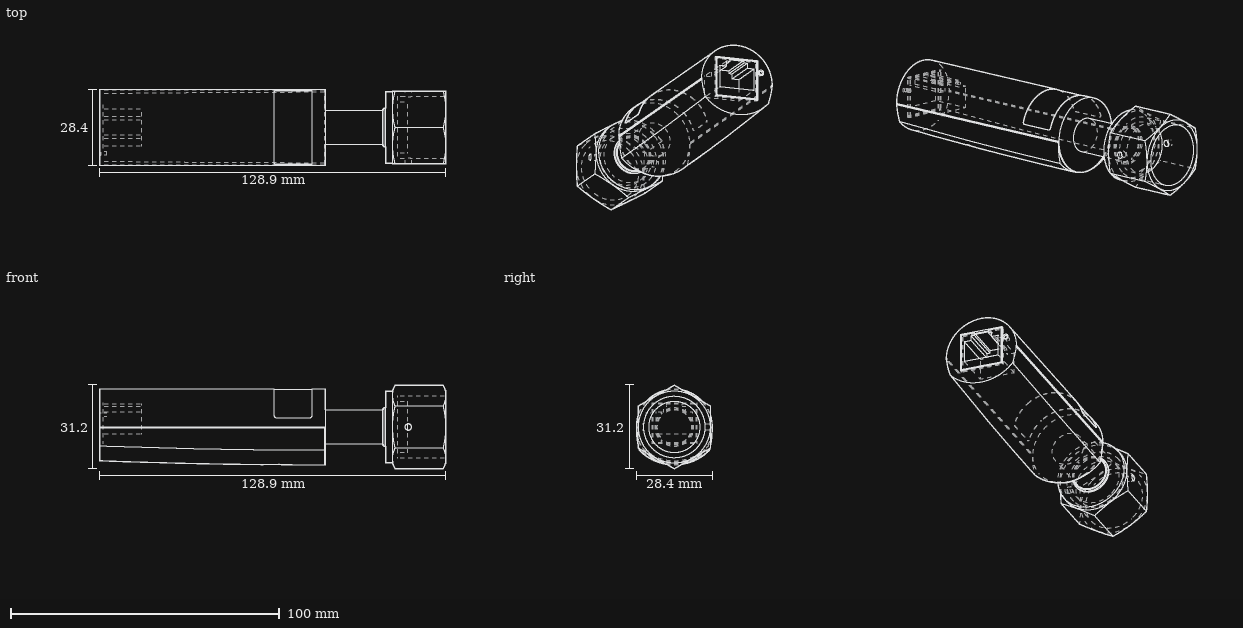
import cadquery as cq
import math

TOTAL_LENGTH = 128.9
OVERSHOOT = 1.3

BODY_DIAMETER = 28.4
BODY_RADIUS = BODY_DIAMETER / 2
BODY_END = 84.0
END_DISC_THICKNESS = 0.4
SHELL_END = BODY_END - END_DISC_THICKNESS

SHELL_RISE = 1.5
SHELL_CORNER_Y = 13.1
SHELL_CORNER_Z = -8.6
SHELL_CORNER_SHIFT = 0.5
SHELL_SIDE_RADIUS = 36.1
SHELL_SECTIONS = 3

GROOVE_HEIGHT = 0.4
GROOVE_DEPTH = 0.3

LABEL_START = 65.0
LABEL_END = 79.0
LABEL_BOTTOM = 3.4
LABEL_CORNER_RADIUS = 0.9
LABEL_DEPTH = 0.1

FRAME_WIDTH = 16.8
FRAME_TOP = 9.0
FRAME_BOTTOM = -6.2
FRAME_GAP = 0.4
FRAME_GAP_DEPTH = 1.3
JACK_DEPTH = 15.5
JACK_HALF_WIDTH = 6.8
JACK_BOTTOM = -2.6
JACK_SHOULDER = 5.7
KEY_HALF_WIDTH = 4.1
KEY_SHOULDER = 7.6
LATCH_HALF_WIDTH = 2.8
JACK_TOP = FRAME_TOP - FRAME_GAP

LIGHT_Y = -9.7
LIGHT_Z = 4.5
LIGHT_DIAMETER = 1.3
LIGHT_RIM_DIAMETER = 2.0
LIGHT_RIM_DEPTH = (LIGHT_RIM_DIAMETER - LIGHT_DIAMETER) / 2
LIGHT_DEPTH = 2.6

NECK_DIAMETER = 12.8
GLAND_START = 105.3
GLAND_NOSE_DIAMETER = 13.5
GLAND_DIAMETER = 14.5
GLAND_BEVEL = (GLAND_DIAMETER - GLAND_NOSE_DIAMETER) / 2
GLAND_HEAD_DIAMETER = 19.1
GLAND_HEAD_END = 114.6

NUT_START = 106.5
HEX_START = 109.0
HEX_SIDES = 6
HEX_ACROSS_CORNERS = 31.2
HEX_CORNER_RADIUS = HEX_ACROSS_CORNERS / 2
COLLAR_RADIUS = 13.4
CHAMFER_ANGLE = 25.0
CHAMFER_LENGTH = (HEX_CORNER_RADIUS - COLLAR_RADIUS) * math.tan(math.radians(CHAMFER_ANGLE))
NUT_BORE_DIAMETER = 23.0
NUT_BORE_START = 110.9
LEAK_HOLE_X = 114.9
LEAK_HOLE_DIAMETER = 2.3


def cylinder(start, end, diameter):
    """Cylinder along X between two stations."""
    return cq.Workplane("YZ", origin=(start, 0, 0)).circle(diameter / 2).extrude(end - start)


def revolved(profile):
    """Solid of revolution about X from (x, radius) points."""
    return cq.Workplane("XY").polyline(profile).close().revolve(360, (0, 0, 0), (1, 0, 0))


def add_shell_section(loft, x):
    """Add the closed cross section of the lower shell at station x."""
    taper = (1 - x / SHELL_END) ** 2
    corner_y = SHELL_CORNER_Y - SHELL_CORNER_SHIFT * taper
    corner_z = SHELL_CORNER_Z + SHELL_RISE * taper
    bottom_z = -BODY_RADIUS + SHELL_RISE * taper
    return (
        loft.workplane(offset=x - loft.plane.origin.x)
        .moveTo(-BODY_RADIUS, 0)
        .lineTo(BODY_RADIUS, 0)
        .radiusArc((corner_y, corner_z), SHELL_SIDE_RADIUS)
        .threePointArc((0, bottom_z), (-corner_y, corner_z))
        .radiusArc((-BODY_RADIUS, 0), SHELL_SIDE_RADIUS)
        .close()
    )


def make_lower_shell():
    loft = cq.Workplane("YZ")
    for index in range(SHELL_SECTIONS):
        loft = add_shell_section(loft, SHELL_END * index / (SHELL_SECTIONS - 1))
    return loft.loft()


def make_upper_half():
    upper_side = cq.Workplane("XY").box(
        BODY_END, BODY_DIAMETER, BODY_RADIUS, centered=(False, True, False)
    )
    end_disc = cylinder(SHELL_END, BODY_END, BODY_DIAMETER)
    return cylinder(0, BODY_END, BODY_DIAMETER).intersect(upper_side).union(end_disc)


def make_parting_groove():
    """Thin slot along both sides, just below the middle plane."""
    bar = cq.Workplane("XY").box(
        SHELL_END, GROOVE_DEPTH + OVERSHOOT, GROOVE_HEIGHT, centered=(False, False, False)
    )
    slot = bar.translate((0, BODY_RADIUS - GROOVE_DEPTH, -GROOVE_HEIGHT))
    return slot.union(slot.mirror("XZ"))


def make_label_recess():
    window = (
        cq.Workplane("XY")
        .box(LABEL_END - LABEL_START, BODY_DIAMETER, BODY_DIAMETER, centered=(False, True, False))
        .edges("|Y and <Z")
        .fillet(LABEL_CORNER_RADIUS)
        .translate((LABEL_START, 0, LABEL_BOTTOM))
    )
    skin = cylinder(LABEL_START, LABEL_END, BODY_DIAMETER + OVERSHOOT).cut(
        cylinder(LABEL_START, LABEL_END, BODY_DIAMETER - 2 * LABEL_DEPTH)
    )
    return skin.intersect(window)


def make_frame_gap():
    """Rectangular groove around the socket insert."""
    height = FRAME_TOP - FRAME_BOTTOM
    face = cq.Workplane("YZ", origin=(0, 0, (FRAME_TOP + FRAME_BOTTOM) / 2))
    outer = face.rect(FRAME_WIDTH, height).extrude(FRAME_GAP_DEPTH)
    inner = face.rect(FRAME_WIDTH - 2 * FRAME_GAP, height - 2 * FRAME_GAP).extrude(FRAME_GAP_DEPTH)
    return outer.cut(inner)


def make_jack_cavity():
    """Stepped plug opening, mirrored about the middle plane."""
    half_outline = [
        (0, JACK_BOTTOM),
        (JACK_HALF_WIDTH, JACK_BOTTOM),
        (JACK_HALF_WIDTH, JACK_SHOULDER),
        (KEY_HALF_WIDTH, JACK_SHOULDER),
        (KEY_HALF_WIDTH, KEY_SHOULDER),
        (LATCH_HALF_WIDTH, KEY_SHOULDER),
        (LATCH_HALF_WIDTH, JACK_TOP),
        (0, JACK_TOP),
    ]
    return cq.Workplane("YZ").polyline(half_outline).mirrorY().extrude(JACK_DEPTH)


def make_light_hole():
    hole = cylinder(0, LIGHT_DEPTH, LIGHT_DIAMETER)
    rim = revolved([
        (0, 0),
        (0, LIGHT_RIM_DIAMETER / 2),
        (LIGHT_RIM_DEPTH, LIGHT_DIAMETER / 2),
        (LIGHT_RIM_DEPTH, 0),
    ])
    return hole.union(rim).translate((0, LIGHT_Y, LIGHT_Z))


def make_neck_and_gland():
    neck = cylinder(SHELL_END, GLAND_HEAD_END, NECK_DIAMETER)
    nose = revolved([
        (GLAND_START, 0),
        (GLAND_START, GLAND_NOSE_DIAMETER / 2),
        (GLAND_START + GLAND_BEVEL, GLAND_DIAMETER / 2),
        (NUT_BORE_START, GLAND_DIAMETER / 2),
        (NUT_BORE_START, 0),
    ])
    head = cylinder(HEX_START, GLAND_HEAD_END, GLAND_HEAD_DIAMETER)
    return neck.union(nose).union(head)


def make_nut():
    """Hexagon with corners up and down, chamfered at both ends, with a round collar."""
    hexagon = (
        cq.Workplane("YZ", origin=(HEX_START, 0, 0))
        .transformed(rotate=(0, 0, 90))
        .polygon(HEX_SIDES, HEX_ACROSS_CORNERS)
        .extrude(TOTAL_LENGTH - HEX_START)
    )
    chamfer_envelope = revolved([
        (HEX_START, 0),
        (HEX_START, COLLAR_RADIUS),
        (HEX_START + CHAMFER_LENGTH, HEX_CORNER_RADIUS),
        (TOTAL_LENGTH - CHAMFER_LENGTH, HEX_CORNER_RADIUS),
        (TOTAL_LENGTH, COLLAR_RADIUS),
        (TOTAL_LENGTH, 0),
    ])
    collar = cylinder(NUT_START, HEX_START, 2 * COLLAR_RADIUS)
    bore = cylinder(NUT_BORE_START, TOTAL_LENGTH, NUT_BORE_DIAMETER)
    return hexagon.intersect(chamfer_envelope).union(collar).cut(bore)


def make_leak_hole():
    """Cross hole through both side walls of the nut."""
    return (
        cq.Workplane("XZ", origin=(LEAK_HOLE_X, 0, 0))
        .circle(LEAK_HOLE_DIAMETER / 2)
        .extrude(HEX_CORNER_RADIUS, both=True)
    )


body = make_upper_half().union(make_lower_shell())
body = body.cut(make_parting_groove()).cut(make_label_recess())
body = body.cut(make_frame_gap()).cut(make_jack_cavity()).cut(make_light_hole())

nut = make_nut().cut(make_leak_hole())

result = body.union(make_neck_and_gland()).union(nut)